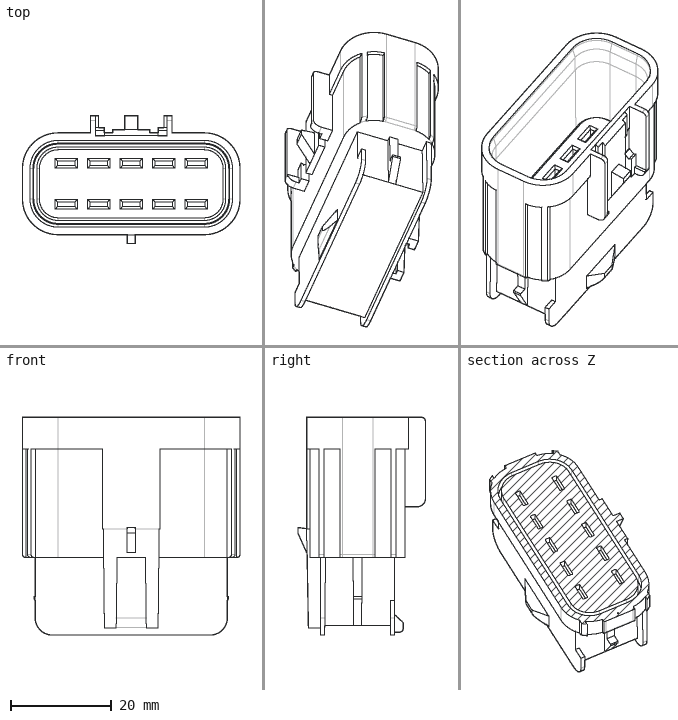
import cadquery as cq

TOTAL_HEIGHT = 43.4
SHELL_LENGTH = 43.3
SHELL_WIDTH = 20.3
SHELL_CORNER = 7.1
SHELL_BOTTOM = 15.45
BAND_BOTTOM = 37.05
RECESS_DEPTH = 0.7
RIB_BOTTOM_FILLET = 0.65
END_RIB_HALF_WIDTH = 3.47
CORNER_RIB_INNER = 6.7
CORNER_RIB_WIDTH = 0.95

RIM_WALL = 1.5
LIP_HEIGHT = 0.55
LEAD_IN_BOTTOM = 40.93
LEAD_IN_INSET = 0.55
DRAFT_START = 37.32
DRAFT_INSET = 0.17
GROOVE_FLOOR = 17.35
ISLAND_TOP = 22.55
ISLAND_INSET = 2.85
ISLAND_CHAMFER = 0.5

POCKET_COLUMNS = 5
POCKET_PITCH = 6.45
POCKET_ROW_OFFSET = 4.1
POCKET_LENGTH = 4.43
POCKET_WIDTH = 1.9
POCKET_LEAD_IN = 0.48
POCKET_DEPTH = 4.35

BLOCK_HALF_LENGTH = 16.7
BLOCK_BOTTOM = 1.9
BLOCK_BACK = 7.38
BLOCK_FRONT = -6.55
PLATE_THICKNESS = 0.85
PLATE_FRONT = BLOCK_FRONT - PLATE_THICKNESS
PLATE_HALF_LENGTH = 19.15
PLATE_CORNER = 3.47
FRONT_PLATE_DRAFT = 0.17
BACK_PLATE_TOP = 6.85

END_STRIP_X = 17.75
END_STRIP_TOP_HALF = 0.9
END_STRIP_BOTTOM_HALF = 0.8
END_CATCH_X = 19.3
END_CATCH_TOP = 7.7
END_CATCH_EDGE = 7.15

PANEL_HALF_WIDTH = 5.7
PANEL_BOTTOM = 21.1
LEG_TOP_HALF_WIDTH = 5.55
LEG_BOTTOM_HALF_WIDTH = 5.35
LEG_BOTTOM = 1.4
LEG_BOTTOM_FRONT = -9.8
LEG_SLOT_TOP_HALF = 2.8
LEG_SLOT_BOTTOM_HALF = 3.0
LEG_SLOT_FLOOR = -7.7
LEG_LIP_BACK = -8.4
UNDERCUT_HALF_WIDTH = 3.9
LEG_RAMP_TOP = 3.45
LEG_RAMP_BOTTOM = 1.5
KEY_WIDTH = 1.65
KEY_FRONT = -11.9
KEY_TIP_TOP = 21.45
KEY_ROOT_TOP = 21.22
KEY_TIP_BOTTOM = 20.3
KEY_ROOT_BOTTOM = 16.4

RAIL_INNER = 7.07
RAIL_OUTER = 8.1
RAIL_BACK = 13.55
RAIL_BOTTOM = 25.5
RAIL_TOP_FILLET = 0.95
RAIL_BOTTOM_FILLET = 1.75
RAIL_LIP_WIDTH = 0.55
RAIL_LIP_HEIGHT = 1.75
GUIDE_TOP = 31.25
GUIDE_WIDTH = 1.75
GUIDE_BACK = 11.15
GUIDE_VALLEY = 10.55
GUIDE_EDGE_RISE = 0.35
NOTCH_FRONT = 9.6
PAD_HALF_WIDTH = 3.7
PAD_BACK = 10.75
TONGUE_WIDTH = 2.6
TONGUE_ROOT_TOP = 32.55
TONGUE_TIP_TOP = 32.2
TONGUE_TIP_BOTTOM = 30.8

BACK_CATCH_Y = 9.1
BACK_CATCH_BOTTOM = 0.55
BACK_CATCH_HEIGHT = 3.55
BACK_CATCH_LENGTH = 10.4
BACK_CATCH_TIP_LENGTH = 2.6
BACK_CATCH_TIP_HEIGHT = 1.9
BACK_CATCH_FILLET = 0.85

SHELL_FRONT = -SHELL_WIDTH / 2
SHELL_BACK = SHELL_WIDTH / 2
SHELL_END = SHELL_LENGTH / 2
RECESS_BACK = SHELL_BACK - RECESS_DEPTH
SIDES = (-1, 1)


def box(x, y, z):
    """Box given by its (low, high) limits along each axis."""
    size = (x[1] - x[0], y[1] - y[0], z[1] - z[0])
    return cq.Workplane("XY").box(*size, centered=False).translate((x[0], y[0], z[0]))


def x_prism(points, x_low, x_high):
    """Prism along X from (y, z) points."""
    base = cq.Workplane("YZ", origin=(x_low, 0, 0))
    return base.polyline(points).close().extrude(x_high - x_low)


def y_prism(points, y_low, y_high):
    """Prism along Y from (x, z) points."""
    base = cq.Workplane("XZ", origin=(0, y_high, 0))
    return base.polyline(points).close().extrude(y_high - y_low)


def shell_prism(inset, bottom, top):
    """Prism with the shell outline moved inward by inset."""
    length = SHELL_LENGTH - 2 * inset
    width = SHELL_WIDTH - 2 * inset
    outline = cq.Sketch().rect(length, width).vertices().fillet(SHELL_CORNER - inset)
    return cq.Workplane("XY", origin=(0, 0, bottom)).placeSketch(outline).extrude(top - bottom)


def shell_taper(bottom_inset, bottom, top_inset, top):
    """Like shell_prism, but the inset changes from bottom to top."""
    bottom_wire = shell_prism(bottom_inset, bottom, top).faces("<Z").wires().val()
    top_wire = shell_prism(top_inset, bottom, top).faces(">Z").wires().val()
    return cq.Workplane(cq.Solid.makeLoft([bottom_wire, top_wire], True))


def trapezoid(bottom_half, bottom, top_half, top):
    """Points of a trapezoid centred on zero, between heights bottom and top."""
    return [(-bottom_half, bottom), (bottom_half, bottom), (top_half, top), (-top_half, top)]


def make_shell():
    shell = shell_prism(0, BAND_BOTTOM, TOTAL_HEIGHT)
    shell = shell.union(shell_prism(RECESS_DEPTH, SHELL_BOTTOM, BAND_BOTTOM))

    full = shell_prism(0, SHELL_BOTTOM, BAND_BOTTOM).faces("<Z").edges().fillet(RIB_BOTTOM_FILLET)
    corner_rib_outer = CORNER_RIB_INNER + CORNER_RIB_WIDTH
    rib_spans = (
        (-END_RIB_HALF_WIDTH, END_RIB_HALF_WIDTH),
        (CORNER_RIB_INNER, corner_rib_outer),
        (-corner_rib_outer, -CORNER_RIB_INNER),
    )
    for span in rib_spans:
        strip = box((-SHELL_END, SHELL_END), span, (SHELL_BOTTOM, BAND_BOTTOM))
        shell = shell.union(full.intersect(strip))

    panel = box(
        (-PANEL_HALF_WIDTH, PANEL_HALF_WIDTH), (SHELL_FRONT, 0), (PANEL_BOTTOM, BAND_BOTTOM)
    )
    return shell.union(panel)


def make_cavity():
    lip_bottom = TOTAL_HEIGHT - LIP_HEIGHT
    wall_inset = RIM_WALL + LEAD_IN_INSET
    floor_inset = wall_inset + DRAFT_INSET
    cavity = shell_prism(RIM_WALL, lip_bottom, TOTAL_HEIGHT)
    cavity = cavity.union(shell_taper(wall_inset, LEAD_IN_BOTTOM, RIM_WALL, lip_bottom))
    cavity = cavity.union(shell_prism(wall_inset, DRAFT_START, LEAD_IN_BOTTOM))
    cavity = cavity.union(shell_taper(floor_inset, GROOVE_FLOOR, wall_inset, DRAFT_START))
    island = shell_prism(ISLAND_INSET, GROOVE_FLOOR, ISLAND_TOP)
    island = island.faces(">Z").edges().chamfer(ISLAND_CHAMFER)
    return cavity.cut(island)


def make_pockets():
    """Blind terminal pockets with a bevelled lead-in, in two rows."""
    first_column = -POCKET_PITCH * (POCKET_COLUMNS - 1) / 2
    centers = [
        (first_column + column * POCKET_PITCH, side * POCKET_ROW_OFFSET)
        for column in range(POCKET_COLUMNS)
        for side in SIDES
    ]
    hole_length = POCKET_LENGTH - 2 * POCKET_LEAD_IN
    hole_width = POCKET_WIDTH - 2 * POCKET_LEAD_IN
    top = cq.Workplane("XY", origin=(0, 0, ISLAND_TOP))
    hole = top.rect(hole_length, hole_width).extrude(-POCKET_DEPTH)
    lead_in = (
        top.rect(POCKET_LENGTH, POCKET_WIDTH)
        .workplane(offset=-POCKET_LEAD_IN)
        .rect(hole_length, hole_width)
        .loft(ruled=True)
    )
    pocket = hole.union(lead_in)
    pockets = cq.Workplane("XY")
    for x, y in centers:
        pockets = pockets.add(pocket.translate((x, y, 0)))
    return pockets.combine()


def make_plate(y_profile, top):
    """Plate with rounded lower corners and a (y, z) cross-section."""
    plate = x_prism(y_profile, -PLATE_HALF_LENGTH, PLATE_HALF_LENGTH)
    y_values = [y for y, _ in y_profile]
    rounded = box(
        (-PLATE_HALF_LENGTH, PLATE_HALF_LENGTH), (min(y_values), max(y_values)), (0, top + PLATE_CORNER)
    )
    rounded = rounded.edges("|Y and <Z").fillet(PLATE_CORNER)
    return plate.intersect(rounded)


def make_lower_block():
    block = box(
        (-BLOCK_HALF_LENGTH, BLOCK_HALF_LENGTH), (PLATE_FRONT, BLOCK_BACK), (BLOCK_BOTTOM, SHELL_BOTTOM)
    )
    front_profile = [
        (PLATE_FRONT, 0),
        (BLOCK_FRONT, 0),
        (BLOCK_FRONT + FRONT_PLATE_DRAFT, SHELL_BOTTOM),
        (PLATE_FRONT, SHELL_BOTTOM),
    ]
    back_profile = [
        (BLOCK_BACK - PLATE_THICKNESS, 0),
        (BLOCK_BACK, 0),
        (BLOCK_BACK, BACK_PLATE_TOP),
        (BLOCK_BACK - PLATE_THICKNESS, BACK_PLATE_TOP),
    ]
    block = block.union(make_plate(front_profile, SHELL_BOTTOM))
    return block.union(make_plate(back_profile, BACK_PLATE_TOP))


def make_end_catches():
    """Tapered rib on each end, carrying a wedge-shaped catch at its foot."""
    half_profile = [
        (BLOCK_HALF_LENGTH, BLOCK_BOTTOM),
        (END_CATCH_X, END_CATCH_EDGE),
        (END_CATCH_X, END_CATCH_TOP),
        (END_STRIP_X, END_CATCH_TOP),
        (END_STRIP_X, SHELL_BOTTOM),
    ]
    mirrored_profile = [(-x, z) for x, z in reversed(half_profile)]
    strip_outline = trapezoid(END_STRIP_BOTTOM_HALF, BLOCK_BOTTOM, END_STRIP_TOP_HALF, SHELL_BOTTOM)
    catches = y_prism(half_profile + mirrored_profile, -END_STRIP_TOP_HALF, END_STRIP_TOP_HALF)
    return catches.intersect(x_prism(strip_outline, -END_CATCH_X, END_CATCH_X))


def make_front_legs():
    side_profile = [
        (PLATE_FRONT, LEG_BOTTOM),
        (LEG_BOTTOM_FRONT, LEG_BOTTOM),
        (SHELL_FRONT, PANEL_BOTTOM),
        (PLATE_FRONT, PANEL_BOTTOM),
    ]
    front_outline = trapezoid(LEG_BOTTOM_HALF_WIDTH, LEG_BOTTOM, LEG_TOP_HALF_WIDTH, PANEL_BOTTOM)
    legs = x_prism(side_profile, -PANEL_HALF_WIDTH, PANEL_HALF_WIDTH)
    legs = legs.intersect(y_prism(front_outline, SHELL_FRONT, PLATE_FRONT))

    slot_profile = [
        (SHELL_FRONT, LEG_BOTTOM),
        (PLATE_FRONT, LEG_BOTTOM),
        (PLATE_FRONT, LEG_RAMP_BOTTOM),
        (LEG_SLOT_FLOOR, LEG_RAMP_TOP),
        (LEG_SLOT_FLOOR, SHELL_BOTTOM),
        (SHELL_FRONT, SHELL_BOTTOM),
    ]
    slot_outline = trapezoid(LEG_SLOT_BOTTOM_HALF, LEG_BOTTOM, LEG_SLOT_TOP_HALF, SHELL_BOTTOM)
    slot = x_prism(slot_profile, -PANEL_HALF_WIDTH, PANEL_HALF_WIDTH)
    opening = y_prism(slot_outline, SHELL_FRONT, PLATE_FRONT)
    undercut = box(
        (-UNDERCUT_HALF_WIDTH, UNDERCUT_HALF_WIDTH), (LEG_LIP_BACK, PLATE_FRONT), (LEG_BOTTOM, SHELL_BOTTOM)
    )
    slot = slot.intersect(opening.union(undercut))
    return legs.cut(slot)


def make_front_key():
    root = SHELL_FRONT + RECESS_DEPTH
    profile = [
        (root, KEY_ROOT_TOP),
        (SHELL_FRONT, KEY_ROOT_TOP),
        (KEY_FRONT, KEY_TIP_TOP),
        (KEY_FRONT, KEY_TIP_BOTTOM),
        (SHELL_FRONT, KEY_ROOT_BOTTOM),
        (root, KEY_ROOT_BOTTOM),
    ]
    return x_prism(profile, -KEY_WIDTH / 2, KEY_WIDTH / 2)


def make_rail():
    """Rail on the +X side, with its lip and the grooved guide beside it."""
    rail_y = (RECESS_BACK, RAIL_BACK)
    rail = box((RAIL_INNER - RAIL_LIP_WIDTH, RAIL_OUTER), rail_y, (RAIL_BOTTOM, TOTAL_HEIGHT))
    rail = rail.edges(">Y and >Z").fillet(RAIL_TOP_FILLET)
    rail = rail.edges(">Y and <Z").fillet(RAIL_BOTTOM_FILLET)
    lip_top = RAIL_BOTTOM + RAIL_LIP_HEIGHT
    above_lip = box((RAIL_INNER - RAIL_LIP_WIDTH, RAIL_INNER), rail_y, (lip_top, TOTAL_HEIGHT))
    valley = GUIDE_TOP - (GUIDE_VALLEY - NOTCH_FRONT)
    guide_profile = [
        (RECESS_BACK, RAIL_BOTTOM),
        (GUIDE_BACK, RAIL_BOTTOM),
        (GUIDE_BACK, valley + GUIDE_EDGE_RISE),
        (GUIDE_VALLEY, valley),
        (NOTCH_FRONT, GUIDE_TOP),
        (RECESS_BACK, GUIDE_TOP),
    ]
    guide = x_prism(guide_profile, RAIL_INNER - GUIDE_WIDTH, RAIL_INNER)
    return rail.cut(above_lip).union(guide)


def make_pad():
    """Raised pad between the rails, with a wedge-shaped tongue."""
    pad = box((-PAD_HALF_WIDTH, PAD_HALF_WIDTH), (RECESS_BACK, PAD_BACK), (RAIL_BOTTOM, TOTAL_HEIGHT))
    tongue_profile = [
        (RECESS_BACK, RAIL_BOTTOM),
        (PAD_BACK, RAIL_BOTTOM),
        (RAIL_BACK, TONGUE_TIP_BOTTOM),
        (RAIL_BACK, TONGUE_TIP_TOP),
        (PAD_BACK, TONGUE_ROOT_TOP),
        (RECESS_BACK, TONGUE_ROOT_TOP),
    ]
    return pad.union(x_prism(tongue_profile, -TONGUE_WIDTH / 2, TONGUE_WIDTH / 2))


def make_rim_bevel():
    """45 degree bevel between the rails, running over the rim and the pad."""
    drop = PAD_BACK - NOTCH_FRONT
    profile = [
        (NOTCH_FRONT, TOTAL_HEIGHT),
        (PAD_BACK, TOTAL_HEIGHT),
        (PAD_BACK, TOTAL_HEIGHT - drop),
    ]
    return x_prism(profile, -RAIL_INNER, RAIL_INNER)


def make_guide_channels():
    """Channels through the rim above the two guides."""
    channel = box(
        (RAIL_INNER - GUIDE_WIDTH, RAIL_INNER), (NOTCH_FRONT, SHELL_BACK), (BAND_BOTTOM, TOTAL_HEIGHT)
    )
    return channel.union(channel.mirror("YZ"))


def make_back_catch():
    """Wedge on the back plate, rounded below and sloped above and at both ends."""
    top = BACK_CATCH_BOTTOM + BACK_CATCH_HEIGHT
    side_profile = [
        (BLOCK_BACK, BACK_CATCH_BOTTOM),
        (BACK_CATCH_Y, BACK_CATCH_BOTTOM),
        (BACK_CATCH_Y, BACK_CATCH_BOTTOM + BACK_CATCH_TIP_HEIGHT),
        (BLOCK_BACK, top),
    ]
    plan_outline = [
        (-BACK_CATCH_LENGTH / 2, BLOCK_BACK),
        (BACK_CATCH_LENGTH / 2, BLOCK_BACK),
        (BACK_CATCH_TIP_LENGTH / 2, BACK_CATCH_Y),
        (-BACK_CATCH_TIP_LENGTH / 2, BACK_CATCH_Y),
    ]
    catch = x_prism(side_profile, -BACK_CATCH_LENGTH / 2, BACK_CATCH_LENGTH / 2)
    catch = catch.edges(">Y and <Z").fillet(BACK_CATCH_FILLET)
    plan = cq.Workplane("XY", origin=(0, 0, BACK_CATCH_BOTTOM)).polyline(plan_outline).close()
    return catch.intersect(plan.extrude(BACK_CATCH_HEIGHT))


rail = make_rail()

result = make_shell()
result = result.union(make_pad())
result = result.cut(make_rim_bevel())
result = result.cut(make_guide_channels())
result = result.union(rail)
result = result.union(rail.mirror("YZ"))
result = result.union(make_lower_block())
result = result.union(make_end_catches())
result = result.union(make_front_legs())
result = result.union(make_front_key())
result = result.union(make_back_catch())
result = result.cut(make_cavity())
result = result.cut(make_pockets())